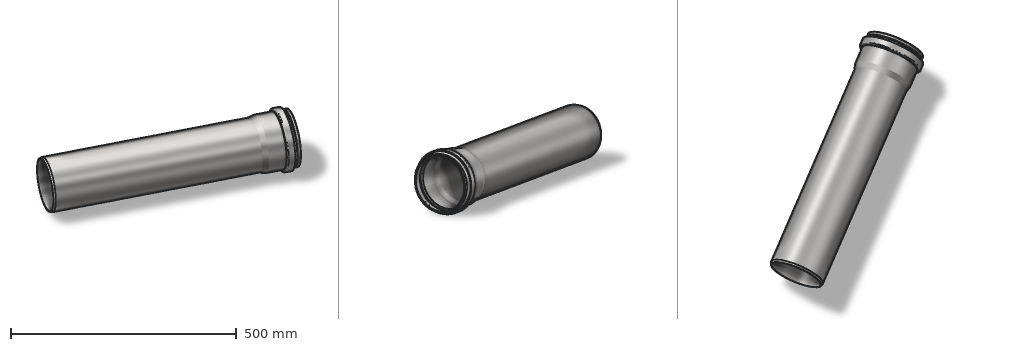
import cadquery as cq
import math

length = 573.5
spigot_end = -length / 2
mouth = length / 2

pipe_diameter = 125.0
socket_diameter = 132.5
bead_diameter = 146.0
neck_diameter = 131.5

pipe_bore = 117.0
socket_bore = 125.5
groove_diameter = 140.0

tip_length = 5.0
tip_depth = 2.0

lip_length = 7.5
front_neck = 9.0
bead_start = 15.5
bead_end = 30.0
rear_neck = 32.5
bead_foot = 34.5
taper_start = 74.5
taper_end = 88.5

bead_round = rear_neck - bead_end


def point(diameter, distance):
    """Profile point at a diameter and a distance behind the socket mouth."""
    return (diameter / 2, mouth - distance)


def revolve(profile):
    """Solid of revolution about the Y axis from an open profile in the XY plane."""
    return profile.close().revolve(360, (0, 0, 0), (0, 1, 0))


arc_offset = bead_round * math.sin(math.pi / 4)
round_diameter = bead_diameter - 2 * bead_round
round_middle = point(round_diameter + 2 * arc_offset, bead_end + arc_offset)

outer = revolve(
    cq.Workplane("XY")
    .polyline([
        (0, spigot_end),
        (pipe_diameter / 2 - tip_depth, spigot_end),
        (pipe_diameter / 2, spigot_end + tip_length),
        point(pipe_diameter, taper_end),
        point(socket_diameter, taper_start),
        point(socket_diameter, bead_foot),
        point(neck_diameter, rear_neck),
        point(round_diameter, rear_neck),
    ])
    .threePointArc(round_middle, point(bead_diameter, bead_end))
    .lineTo(*point(bead_diameter, bead_start))
    .lineTo(*point(neck_diameter, front_neck))
    .lineTo(*point(socket_diameter, lip_length))
    .lineTo(*point(socket_diameter, 0))
    .lineTo(0, mouth)
)

bore = revolve(cq.Workplane("XY").polyline([
    (0, spigot_end),
    (pipe_bore / 2, spigot_end),
    point(pipe_bore, taper_end),
    point(socket_bore, taper_start),
    point(socket_bore, bead_end),
    point(groove_diameter, bead_end),
    point(groove_diameter, bead_start),
    point(socket_bore, bead_start),
    point(socket_bore, 0),
    (0, mouth),
]))

result = outer.cut(bore)